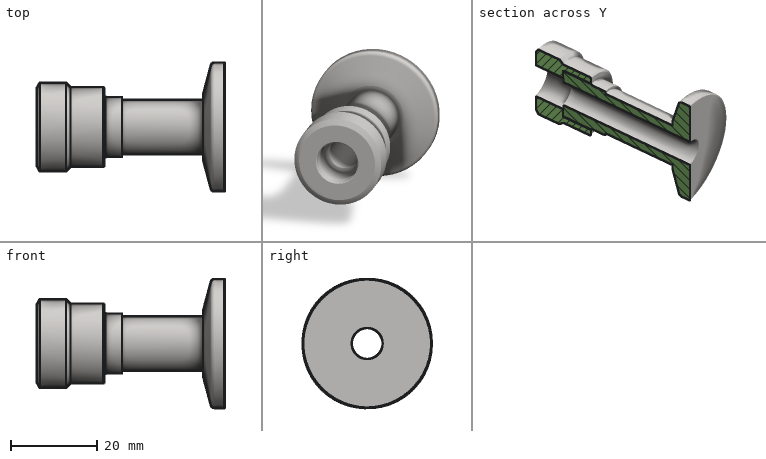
import cadquery as cq
import math

total_length = 43.59

nut_rim_radius = 10.3
nut_rim_end = 6.8
nut_front_chamfer_length = 0.75
nut_front_chamfer_depth = nut_front_chamfer_length * math.tan(math.radians(60))
nut_body_radius = 9.3
nut_taper_end = nut_rim_end + (nut_rim_radius - nut_body_radius)
nut_length = 15.75
nut_back_chamfer = 0.4
tube_bore_radius = 4.85
tube_bore_chamfer = 0.2

plug_radius = 7.15
plug_start = nut_taper_end
collar_radius = 7.0
collar_end = 19.8
stem_radius = 6.33
stem_bore_radius = 3.55
plug_chamfer_end = 16.0

flange_radius = 15.0
flange_start = 38.5
flange_hub_radius = 7.5
flange_cone_angle = math.radians(15)
flange_rim_fillet = 1.0
flange_rim_start = flange_start + (flange_radius - flange_hub_radius) * math.tan(flange_cone_angle)
flange_edge_chamfer = 0.2


def revolve_about_x(outline):
    """Turn a closed half outline, drawn as (x, radius), into a round solid."""
    return outline.close().revolve(360, (0, 0, 0), (1, 0, 0))


def make_nut():
    outline = (
        cq.Workplane("XY")
        .moveTo(0, tube_bore_radius + tube_bore_chamfer)
        .lineTo(0, nut_rim_radius - nut_front_chamfer_depth)
        .lineTo(nut_front_chamfer_length, nut_rim_radius)
        .lineTo(nut_rim_end, nut_rim_radius)
        .lineTo(nut_taper_end, nut_body_radius)
        .lineTo(nut_length - nut_back_chamfer, nut_body_radius)
        .lineTo(nut_length, nut_body_radius - nut_back_chamfer)
        .lineTo(nut_length, plug_radius)
        .lineTo(plug_start, plug_radius)
        .lineTo(plug_start, tube_bore_radius)
        .lineTo(tube_bore_chamfer, tube_bore_radius)
    )
    return revolve_about_x(outline)


def make_flanged_stem():
    fillet_center_radius = flange_radius - flange_rim_fillet
    fillet_turn = math.pi / 2 - flange_cone_angle
    tangent_length = flange_rim_fillet * math.tan(fillet_turn / 2)
    fillet_end = flange_rim_start + tangent_length
    fillet_start = (
        flange_rim_start - tangent_length * math.sin(flange_cone_angle),
        flange_radius - tangent_length * math.cos(flange_cone_angle),
    )
    fillet_middle = (
        fillet_end - flange_rim_fillet * math.sin(fillet_turn / 2),
        fillet_center_radius + flange_rim_fillet * math.cos(fillet_turn / 2),
    )
    outline = (
        cq.Workplane("XY")
        .moveTo(plug_start, stem_bore_radius)
        .lineTo(plug_start, plug_radius)
        .lineTo(nut_length, plug_radius)
        .lineTo(plug_chamfer_end, collar_radius)
        .lineTo(collar_end, collar_radius)
        .lineTo(collar_end, stem_radius)
        .lineTo(flange_start, stem_radius)
        .lineTo(flange_start, flange_hub_radius)
        .lineTo(*fillet_start)
        .threePointArc(fillet_middle, (fillet_end, flange_radius))
        .lineTo(total_length - flange_edge_chamfer, flange_radius)
        .lineTo(total_length, flange_radius - flange_edge_chamfer)
        .lineTo(total_length, stem_bore_radius)
    )
    return revolve_about_x(outline)


nut = make_nut()
flanged_stem = make_flanged_stem()

result = cq.Compound.makeCompound([nut.val(), flanged_stem.val()])